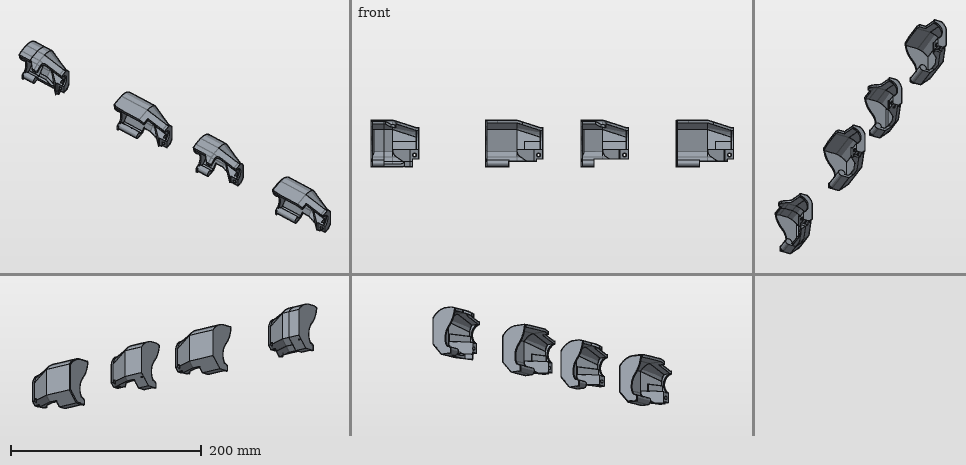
import cadquery as cq
import math


height = 49.06
wall = 3.0
end_plate = 1.6
short_length = 50.25
long_length = 60.25
short_starts = (0.0, 220.0)
long_starts = (120.0, 320.0)

back_top = 40.0
back_bottom = 12.0
roof_flat_start = -14.9
underside_run = 11.0
inner_bend = 3.1
crown_run_share = 0.42
crown_rise_share = 0.64
hook_front = -23.0
hook_radius = 3.7
floor_front = -15.0
section_front = -36.0

plate_toe_height = 5.7
plate_heel = (-18.3, 8.0)
plate_low_curve = (-16.6, 11.5)
plate_waist = (-16.0, 17.0)
plate_mid_curve = (-17.2, 23.5)
plate_shoulder = (-20.6, 29.0)
plate_high_curve = (-25.5, 36.5)
plate_top = (-27.5, 42.0)

lip_bend = -24.0
lip_edge = -28.6
lip_edge_drop = 1.4
lip_tip = -34.62
lip_tip_drop = 4.6
lip_root_left = 15.5
lip_tip_left = 21.0
lip_tip_right = 25.2
lip_root_right = 26.4
lip_corner_radius = 4.0
long_roof_left_front = -29.3
long_roof_front = -30.3
long_roof_bend = 13.0
long_roof_inset = 21.25
narrow_roof_front = -23.0

taper_inset = 27.25
flange_length = 2.75
end_wall = 2.2
end_back = -9.0
end_drop = 7.9
end_wall_mid_front = -14.0

block_top = 18.3
block_front = -21.0
block_right_inset = 9.0
block_corner_chamfer = 1.5
foot_inset = 6.5
tab_bottom = 8.0
tab_front = -19.0
tab_thickness = 3.0
tab_corner_radius = 1.5
hole_diameter = 3.5
hole_inset = 4.5
hole_z = 12.4
long_pad_inset = 19.0
pad_top = 26.3
pad_step = 1.0

short_hook_width = 14.0
long_hook_width = 24.6
short_bottom = 8.0
long_bottom = 5.8
foot_height = 5.4
rim_depth = 1.2
rim_width = 1.8
end_chamfer = 1.0

margin = 20.0


def box(x0, x1, y0, y1, z0, z1):
    return cq.Workplane("XY").box(x1 - x0, y1 - y0, z1 - z0, centered=False).translate((x0, y0, z0))


def section(sketch, back, roof, inset, droops):
    """Cross-section filled to the front: the outside, or the inside when inset by the wall."""
    y_back = back - inset
    z_roof = roof - inset
    curve_start = back_top - (height - roof) - inset / 3
    slope_start = back_bottom + inset / 4
    floor = inset
    slope_run = underside_run * (slope_start - floor) / back_bottom
    slope_length = math.hypot(underside_run, back_bottom)
    bend_y = y_back - inner_bend * underside_run / slope_length
    bend_z = slope_start - inner_bend * back_bottom / slope_length
    crown = (
        y_back + crown_run_share * (roof_flat_start - y_back),
        curve_start + crown_rise_share * (z_roof - curve_start),
    )
    edge_drop = lip_edge_drop if droops else 0
    front_drop = lip_tip_drop * (lip_bend - section_front) / (lip_bend - lip_tip) if droops else 0
    outline = sketch.moveTo(section_front, floor).lineTo(y_back - slope_run, floor)
    if inset > 0:
        outline = outline.lineTo(bend_y, bend_z)
        outline = outline.tangentArcPoint((y_back, slope_start + inner_bend), relative=False)
    else:
        outline = outline.lineTo(y_back, slope_start)
    return (
        outline.lineTo(y_back, curve_start)
        .threePointArc(crown, (roof_flat_start, z_roof))
        .lineTo(lip_bend, z_roof)
        .lineTo(lip_edge, z_roof - edge_drop)
        .lineTo(section_front, z_roof - front_drop)
        .close()
    )


def filled_body(x0, length, x1, inset, droops):
    """Straight stretch, taper and end flange, from x0 to x1."""
    taper_start = length - taper_inset
    taper_end = length - flange_length
    end_roof = height - end_drop
    straight = section(cq.Workplane("YZ", origin=(x0, 0, 0)), 0, height, inset, droops)
    straight = straight.extrude(taper_start - x0)
    taper = section(cq.Workplane("YZ", origin=(taper_start, 0, 0)), 0, height, inset, droops)
    taper = taper.workplane(offset=taper_end - taper_start)
    taper = section(taper, end_back, end_roof, inset, droops).loft(ruled=True)
    flange = section(cq.Workplane("YZ", origin=(taper_end, 0, 0)), end_back, end_roof, inset, droops)
    flange = flange.extrude(x1 - taper_end)
    return straight.union(taper).union(flange)


def roof_outline(length, droops):
    """Plan shape that trims the roof, as a tall prism."""
    plan = cq.Workplane("XY").moveTo(0, margin)
    if droops:
        plan = (
            plan.lineTo(0, lip_edge)
            .lineTo(lip_root_left, lip_edge)
            .lineTo(lip_tip_left, lip_tip)
            .lineTo(lip_tip_right, lip_tip)
            .lineTo(lip_root_right, lip_tip + lip_root_right - lip_tip_right)
            .lineTo(lip_root_right, narrow_roof_front - lip_corner_radius)
            .radiusArc((lip_root_right + lip_corner_radius, narrow_roof_front), lip_corner_radius)
        )
    else:
        plan = (
            plan.lineTo(0, long_roof_left_front)
            .lineTo(long_roof_bend, long_roof_front)
            .lineTo(length - long_roof_inset, long_roof_front)
            .lineTo(length - long_roof_inset, narrow_roof_front)
        )
    return plan.lineTo(length, narrow_roof_front).lineTo(length, margin).close().extrude(height)


def crescent():
    """Profile of the plate that closes the left end, hollowed out at the front."""
    return (
        cq.Workplane("YZ")
        .moveTo(margin, 0)
        .lineTo(hook_front, 0)
        .lineTo(hook_front, plate_toe_height)
        .lineTo(*plate_heel)
        .threePointArc(plate_low_curve, plate_waist)
        .threePointArc(plate_mid_curve, plate_shoulder)
        .threePointArc(plate_high_curve, plate_top)
        .lineTo(lip_edge, height - lip_edge_drop)
        .lineTo(lip_edge, height)
        .lineTo(margin, height)
        .close()
    )


def end_wall_profile():
    """Profile of the wall that closes the right end, hollowed between roof and tab."""
    end_roof = height - end_drop
    return (
        cq.Workplane("YZ")
        .moveTo(margin, tab_bottom)
        .lineTo(tab_front, tab_bottom)
        .lineTo(tab_front, block_top)
        .threePointArc(
            (end_wall_mid_front, (block_top + end_roof) / 2),
            (narrow_roof_front, end_roof - wall),
        )
        .lineTo(narrow_roof_front, end_roof)
        .lineTo(margin, end_roof)
        .close()
    )


def wall_pad(length, left):
    """Thicker band of the tapering back wall, right above the block."""
    taper_start = length - taper_inset
    taper_end = length - flange_length
    face_front = end_back - wall - pad_step
    taper_share = (left - taper_start) / (taper_end - taper_start)
    start_front = end_back * taper_share - wall - pad_step
    return (
        cq.Workplane("XY", origin=(0, 0, block_top))
        .moveTo(left, 0)
        .lineTo(left, start_front)
        .lineTo(taper_end, face_front)
        .lineTo(length, face_front)
        .lineTo(length, 0)
        .close()
        .extrude(pad_top - block_top)
    )


def block(length, pad_left, chamfered):
    """Block with a 45 degree left face, running forward out of the back wall."""
    right = length - block_right_inset
    left = right + block_front
    shape = (
        cq.Workplane("XY")
        .moveTo(left, 0)
        .lineTo(right, block_front)
        .lineTo(right, tab_front)
        .lineTo(length - foot_inset, tab_front)
        .lineTo(length - foot_inset, 0)
        .close()
        .extrude(block_top)
    )
    if chamfered:
        shape = shape.edges("|Z and <Y").chamfer(block_corner_chamfer)
    pad = wall_pad(length, pad_left)
    tab = box(length - foot_inset, length, tab_front, tab_front + tab_thickness, tab_bottom, block_top)
    tab = tab.edges("|Y and >X and <Z").fillet(tab_corner_radius)
    return shape.union(pad).union(tab)


def rim_bevel():
    """Wedge that blends the left end plate into the back wall."""
    return (
        cq.Workplane("XY", origin=(0, 0, short_bottom))
        .moveTo(end_plate, -wall)
        .lineTo(end_plate, -wall - rim_depth)
        .lineTo(end_plate + rim_width, -wall)
        .close()
        .extrude(back_top - wall / 3 - short_bottom)
    )


def bracket(length, hook_width, pad_left, droops, block_chamfered, end_chamfered):
    """Whole bracket with a full-depth foot under the block."""
    outside = filled_body(0, length, length, 0, droops)
    if end_chamfered:
        outside = outside.faces("<X").edges().chamfer(end_chamfer)
    shell = outside.cut(filled_body(end_plate, length, length - end_wall, wall, droops))
    shell = shell.intersect(roof_outline(length, droops))

    left_end = box(0, end_plate, section_front, margin, 0, height)
    shell = shell.cut(left_end.cut(crescent().extrude(end_plate)))
    right_x = length - end_wall
    right_end = box(right_x, length, section_front, margin, 0, height)
    shell = shell.cut(right_end.cut(end_wall_profile().extrude(end_wall).translate((right_x, 0, 0))))

    hook_y = hook_front + hook_radius
    shell = shell.cut(box(end_plate, hook_width, section_front, hook_y, 0, back_bottom))
    shell = shell.cut(box(hook_width, right_x, section_front, floor_front, 0, back_bottom))
    hook = cq.Workplane("YZ").center(hook_y, hook_radius).circle(hook_radius).extrude(hook_width)
    shell = shell.union(hook)
    shell = shell.union(block(length, pad_left, block_chamfered).intersect(outside))
    shell = shell.cut(box(length - foot_inset, length, section_front, margin, 0, tab_bottom))
    hole = cq.Workplane("XZ").center(length - hole_inset, hole_z).circle(hole_diameter / 2)
    return shell.cut(hole.extrude(margin * 2, both=True))


def below(length, x, top):
    """Everything to the right of x and lower than top."""
    return box(x, length, section_front, margin, 0, top)


def place(solid, x):
    return solid.translate((x, 0, 0))


def short_bracket(block_chamfered):
    pad_left = short_length - taper_inset
    shell = bracket(short_length, short_hook_width, pad_left, True, block_chamfered, False)
    return shell.union(rim_bevel())


def long_bracket(chamfered):
    pad_left = long_length - long_pad_inset
    shell = bracket(long_length, long_hook_width, pad_left, False, chamfered, chamfered)
    return shell.cut(below(long_length, long_hook_width, long_bottom))


divided = short_bracket(False)
end_piece = divided.intersect(box(0, short_hook_width, section_front, margin, 0, height))
foot = divided.intersect(below(short_length, short_hook_width, foot_height))
main_piece = divided.cut(end_piece).cut(foot)

undivided = short_bracket(True).cut(below(short_length, short_hook_width, short_bottom))

first_short_start, second_short_start = short_starts
bodies = [place(body, first_short_start) for body in (end_piece, main_piece, foot)]
bodies.append(place(undivided, second_short_start))

for start, chamfered in zip(long_starts, (False, True)):
    bodies.append(place(long_bracket(chamfered), start))

result = cq.Compound.makeCompound([solid for body in bodies for solid in body.solids().vals()])